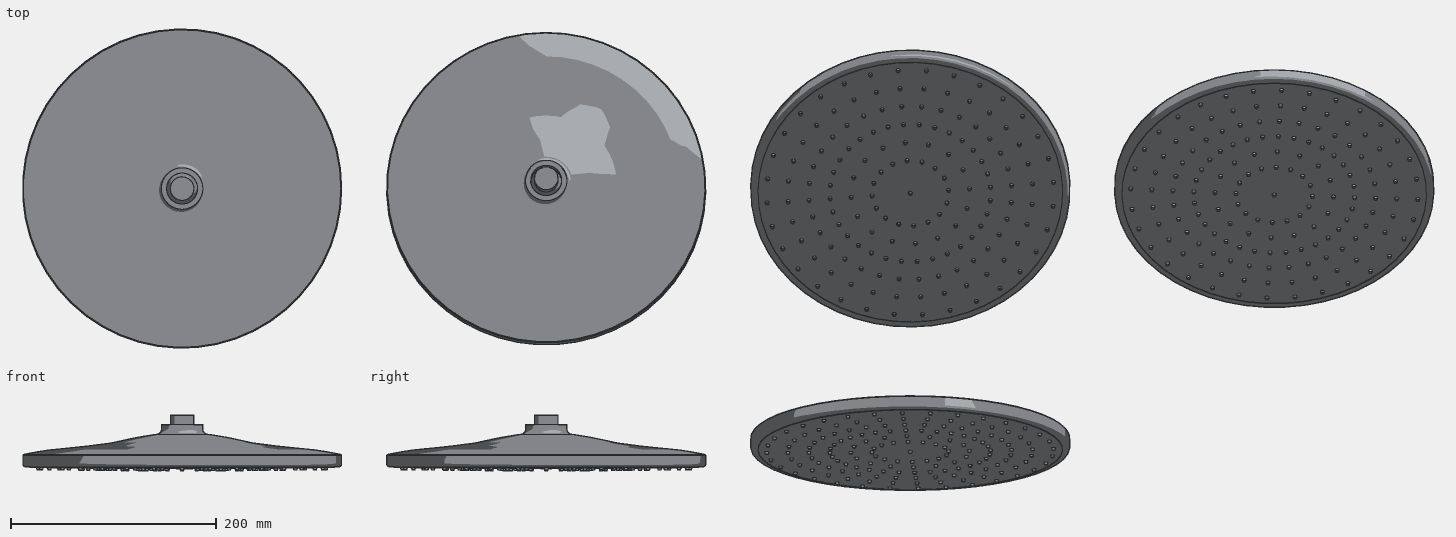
import cadquery as cq
import math

HEAD_DIAMETER = 310.0
TOTAL_HEIGHT = 54.2

STUB_DIAMETER = 23.0
STUB_HEIGHT = 9.3
BALL_DIAMETER = 30.0
COLLAR_DIAMETER = 40.3
FLARE_DIAMETER = 50.2
COLLAR_TOP_Z = TOTAL_HEIGHT - STUB_HEIGHT
FLARE_RADIUS = (FLARE_DIAMETER - COLLAR_DIAMETER) / 2
FLARE_BOTTOM_Z = 35.5
FLARE_TOP_Z = FLARE_BOTTOM_Z + FLARE_RADIUS
STUB_RADIUS = STUB_DIAMETER / 2
BALL_RADIUS = BALL_DIAMETER / 2
BALL_CENTRE_Z = COLLAR_TOP_Z - math.sqrt(BALL_RADIUS**2 - STUB_RADIUS**2)

CROWN_LEDGE = 0.5
CROWN = (FLARE_DIAMETER / 2 + CROWN_LEDGE, FLARE_BOTTOM_Z)
CROWN_SLOPE = -0.13
SHOULDER = (68.8, 27.3)
SHOULDER_INNER_SLOPE = -0.22
SHOULDER_OUTER_SLOPE = -0.15
BRIM = (129.5, 20.5)
BRIM_SLOPE = -0.1
DOME_EDGE_SLOPE = -0.18

RIM_RADIUS = HEAD_DIAMETER / 2
RIM_TOP_Z = 16.0
RIM_TOP_CHAMFER = 1.0
RIM_BOTTOM_Z = 4.0
RIM_BOTTOM_FILLET = 2.8
RIM_BOTTOM_RADIUS = RIM_RADIUS - RIM_BOTTOM_FILLET
PLATE_RADIUS = 148.0
PLATE_EDGE_Z = 3.5

NOZZLE_BASE_DIAMETER = 4.0
NOZZLE_TIP_DIAMETER = 2.8
NOZZLE_LENGTH = 2.2
NOZZLE_ROOT = 1.0
RING_PITCH = 20.5
OUTER_RING_RADIUS = 139.5
RING_COUNTS = [32, 32, 32, 32, 16, 16]

PLATE_CENTRE_Z = NOZZLE_LENGTH
PLATE_SAG = PLATE_EDGE_Z - PLATE_CENTRE_Z
PLATE_SPHERE_RADIUS = (PLATE_RADIUS**2 + PLATE_SAG**2) / (2 * PLATE_SAG)


def plate_z(radius):
    """Height of the slightly domed spray plate at a distance from the axis."""
    height_in_sphere = math.sqrt(PLATE_SPHERE_RADIUS**2 - radius**2)
    return PLATE_CENTRE_Z + PLATE_SPHERE_RADIUS - height_in_sphere


def make_turned_head():
    """Turned head: domed spray plate, rim, three-part dome, flare and collar."""
    diagonal = math.sqrt(0.5)
    flare_middle = (
        FLARE_DIAMETER / 2 - FLARE_RADIUS * diagonal,
        FLARE_TOP_Z - FLARE_RADIUS * diagonal,
    )
    rim_fillet_middle = (
        RIM_BOTTOM_RADIUS + RIM_BOTTOM_FILLET * diagonal,
        RIM_BOTTOM_Z + RIM_BOTTOM_FILLET * (1 - diagonal),
    )
    half_radius = PLATE_RADIUS / 2
    dome_edge = (RIM_RADIUS - RIM_TOP_CHAMFER, RIM_TOP_Z)
    profile = (
        cq.Workplane("XZ")
        .moveTo(0, PLATE_CENTRE_Z)
        .threePointArc((half_radius, plate_z(half_radius)), (PLATE_RADIUS, PLATE_EDGE_Z))
        .lineTo(PLATE_RADIUS, RIM_BOTTOM_Z)
        .lineTo(RIM_BOTTOM_RADIUS, RIM_BOTTOM_Z)
        .threePointArc(rim_fillet_middle, (RIM_RADIUS, RIM_BOTTOM_Z + RIM_BOTTOM_FILLET))
        .lineTo(RIM_RADIUS, RIM_TOP_Z - RIM_TOP_CHAMFER)
        .lineTo(*dome_edge)
        .spline([dome_edge, BRIM], tangents=[(-1, -DOME_EDGE_SLOPE), (-1, -BRIM_SLOPE)])
        .spline([BRIM, SHOULDER], tangents=[(-1, -BRIM_SLOPE), (-1, -SHOULDER_OUTER_SLOPE)])
        .spline([SHOULDER, CROWN], tangents=[(-1, -SHOULDER_INNER_SLOPE), (-1, -CROWN_SLOPE)])
        .lineTo(FLARE_DIAMETER / 2, FLARE_BOTTOM_Z)
        .threePointArc(flare_middle, (COLLAR_DIAMETER / 2, FLARE_TOP_Z))
        .lineTo(COLLAR_DIAMETER / 2, COLLAR_TOP_Z)
        .lineTo(0, COLLAR_TOP_Z)
        .close()
    )
    return profile.revolve(360, (0, 0, 0), (0, 1, 0))


def make_socket():
    """Cutter for the ball socket: a bore ending in a half sphere."""
    bore = (
        cq.Workplane("XY", origin=(0, 0, BALL_CENTRE_Z))
        .circle(BALL_RADIUS)
        .extrude(COLLAR_TOP_Z - BALL_CENTRE_Z)
    )
    return bore.union(cq.Workplane("XY", origin=(0, 0, BALL_CENTRE_Z)).sphere(BALL_RADIUS))


def make_nozzle(x, y):
    """Tapered nozzle that hangs from the spray plate at (x, y)."""
    base_z = plate_z(math.hypot(x, y))
    base_radius = NOZZLE_BASE_DIAMETER / 2
    tip = cq.Solid.makeCone(
        base_radius,
        NOZZLE_TIP_DIAMETER / 2,
        NOZZLE_LENGTH,
        cq.Vector(x, y, base_z),
        cq.Vector(0, 0, -1),
    )
    root = cq.Solid.makeCylinder(base_radius, NOZZLE_ROOT, cq.Vector(x, y, base_z))
    return tip.fuse(root)


def make_nozzles():
    """Centre nozzle and concentric rings of nozzles."""
    nozzles = [make_nozzle(0, 0)]
    for ring, count in enumerate(RING_COUNTS):
        radius = OUTER_RING_RADIUS - ring * RING_PITCH
        for index in range(count):
            angle = 2 * math.pi * index / count
            nozzles.append(make_nozzle(radius * math.cos(angle), radius * math.sin(angle)))
    return nozzles


def make_head():
    """Shower head with its ball socket and nozzles, as one solid."""
    shell = make_turned_head().cut(make_socket()).val()
    return shell.fuse(*make_nozzles()).Solids()[0]


def make_connector():
    """Ball with the round stub that rises from it."""
    ball = cq.Workplane("XY", origin=(0, 0, BALL_CENTRE_Z)).sphere(BALL_RADIUS)
    stub = (
        cq.Workplane("XY", origin=(0, 0, BALL_CENTRE_Z))
        .circle(STUB_RADIUS)
        .extrude(TOTAL_HEIGHT - BALL_CENTRE_Z)
    )
    above_collar = (
        cq.Workplane("XY", origin=(0, 0, COLLAR_TOP_Z))
        .circle(BALL_RADIUS)
        .extrude(BALL_RADIUS)
    )
    return ball.cut(above_collar).union(stub)


head = make_head()
connector = make_connector()

result = cq.Compound.makeCompound([head, connector.val()])